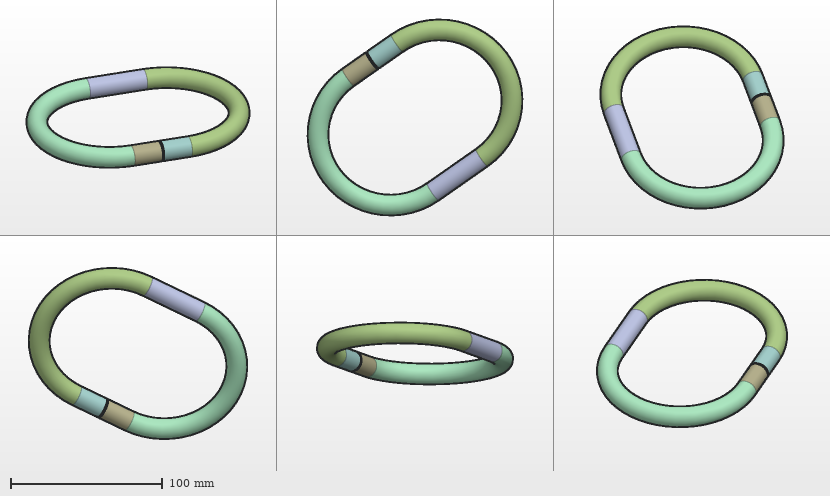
import cadquery as cq

link_length = 149.9
link_width = 110.0
wire_diameter = 14.0
gap = 1.0

wire_radius = wire_diameter / 2
bend_radius = (link_width - wire_diameter) / 2
straight_length = link_length - link_width
half_straight = straight_length / 2
half_gap = gap / 2
bend_top = half_straight + bend_radius

centreline = (
    cq.Workplane("XY")
    .moveTo(bend_radius, half_gap)
    .lineTo(bend_radius, half_straight)
    .threePointArc((0, bend_top), (-bend_radius, half_straight))
    .lineTo(-bend_radius, -half_straight)
    .threePointArc((0, -bend_top), (bend_radius, -half_straight))
    .lineTo(bend_radius, -half_gap)
)

wire_section = cq.Workplane("XZ", origin=(bend_radius, half_gap, 0)).circle(wire_radius)

result = wire_section.sweep(centreline)